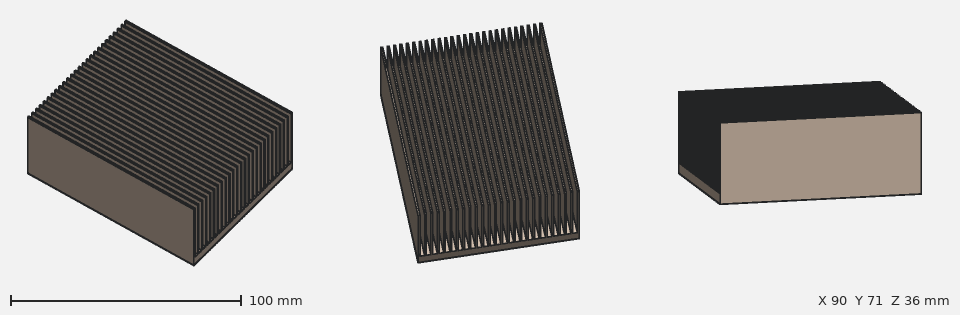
import cadquery as cq

length = 90.0
width = 71.0
height = 36.0

base_thickness = 4.8
outer_fin_thickness = 0.9
inner_fin_thickness = 0.8
inner_fin_count = 24
slot_count = inner_fin_count + 1
slot_width = (width - 2 * outer_fin_thickness - inner_fin_count * inner_fin_thickness) / slot_count
slot_pitch = slot_width + inner_fin_thickness

hole_diameter = 2.2
hole_spacing_x = 28.0
hole_row_inset = 5.2
holes_per_row = 3
hole_row_spacing = width - 2 * hole_row_inset


def make_base():
    """Base plate centred in X and Y, resting on Z = 0, drilled right through."""
    plate = cq.Workplane("XY").box(length, width, base_thickness, centered=(True, True, False))
    return (
        plate.faces(">Z")
        .workplane()
        .rarray(hole_spacing_x, hole_row_spacing, holes_per_row, 2)
        .hole(hole_diameter)
    )


def make_fins():
    """Full-length fins left standing between evenly pitched slots above the base."""
    fin_height = height - base_thickness
    fin_root = cq.Workplane("XY").workplane(offset=base_thickness)
    fin_block = fin_root.rect(length, width).extrude(fin_height)
    slots = (
        fin_root.rarray(length, slot_pitch, 1, slot_count)
        .rect(length, slot_width)
        .extrude(fin_height)
    )
    return fin_block.cut(slots)


result = make_base().union(make_fins())